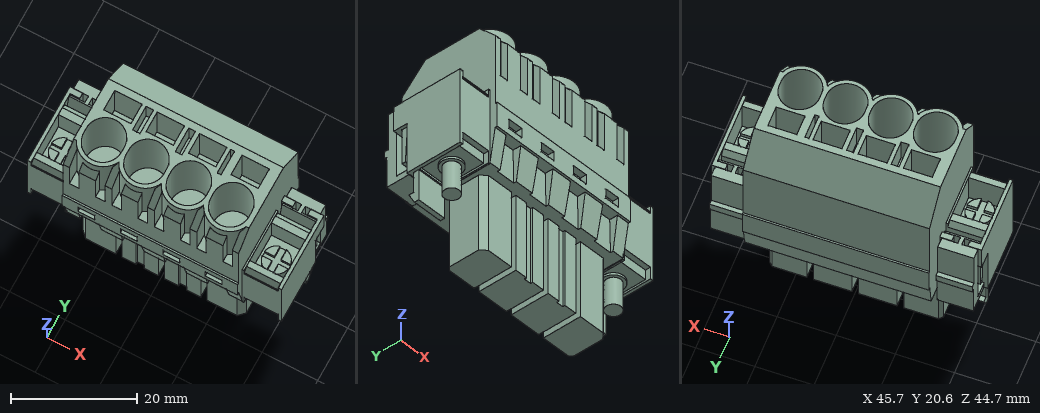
import cadquery as cq


LENGTH = 45.7
DEPTH = 20.6
HEIGHT = 44.7
POLE_COUNT = 4
POLE_PITCH = 7.65
POLE_X = [(i - (POLE_COUNT - 1) / 2) * POLE_PITCH for i in range(POLE_COUNT)]

HOUSING_LENGTH = 31.55
BAND_Y = DEPTH / 2
BAND_STEP = 0.3
WALL_Y = BAND_Y - BAND_STEP
BAND_TOP_Z = 27.25
BAND_BOTTOM_Z = 22.25
FRONT_BEVEL = 3.47
BACK_BEVEL = 5.0
SKIRT_TOP_Y = 9.88
SKIRT_FRONT_Y = 8.8
SKIRT_BACK_Y = 9.25
SKIRT_FRONT_Z = 15.55
SKIRT_BACK_Z = 17.5

BOSS_RADIUS = 4.25
BOSS_Y = -4.65
ENTRY_WIDTH = 6.8
ENTRY_LENGTH = 7.65
ENTRY_Y = -4.4
ENTRY_DEPTH = 13.7
RIB_WIDTH = 3.0
SLOT_WIDTH = 1.7
SLOT_FLOOR_Z = 33.65

RELEASE_WIDTH = 4.9
RELEASE_FRONT_Y = 0.05
RELEASE_BACK_Y = 3.75
RELEASE_DEPTH = 9.15
RELEASE_TAPER = 0.15
SLIT_SPANS = [(-8.28, -6.95), (-0.6, 0.6), (6.95, 7.65)]
SLIT_FRONT_Y = -0.75
SLIT_DEPTH = 4.55
WINDOW_HEIGHT = 1.9
WINDOW_BOTTOM_Z = 23.55
WINDOW_DEPTH = 1.25
SKIRT_RECESS_Y = -8.25
SKIRT_RECESS_TOP_WIDTH = 3.47
SKIRT_RECESS_BOTTOM_WIDTH = 3.85

PRONG_WIDTH = 6.55
PRONG_FRONT_Y = -6.5
PRONG_BACK_Y = 1.4
PRONG_FRONT_BEVEL = 1.1
PRONG_BACK_BEVEL = 0.65
PRONG_GROOVE_WIDTH = 1.4
PRONG_GROOVE_DEPTH = 0.45

FLANGE_TOP_Z = 30.6
INNER_STEP = 0.15
INNER_TOP_Z = FLANGE_TOP_Z - INNER_STEP
FLANGE_BOTTOM_Z = 15.35
FLANGE_OUT_X = LENGTH / 2
FLANGE_IN_X = HOUSING_LENGTH / 2
OUTER_PLATE = 0.65
INNER_PLATE = 0.3
WELL_OUT_X = FLANGE_OUT_X - OUTER_PLATE
WELL_IN_X = FLANGE_IN_X + INNER_PLATE
BOX_FRONT_Y = -8.8
BOX_BACK_Y = 2.55
BOX_BACK_BEVEL = 0.85
WELL_FRONT_Y = -6.8
WELL_BACK_Y = 0.35
WELL_FLOOR_Z = 24.65
LIP_BEVEL_Y = 0.85
LIP_BEVEL_Z = 1.1
LIP_STEP = 0.1
LIP_BOTTOM_Z = 29.0
UNDERSIDE_Z = 15.8
FOOT_RECESS_TOP_Z = 17.8
FOOT_RECESS_DEPTH = 1.05

RAIL_FRONT_Y = 4.3
RAIL_BACK_Y = 5.35
NECK_WIDTH = 0.7
NECK_GAP = 1.0
BACK_PLATE_Y = 7.15
BACK_PLATE_LOW_Y = 7.45
BACK_NUB_Y = 7.9
BACK_NUB_TOP_Z = 23.23
BACK_NUB_BOTTOM_Z = 21.75
BAR_TOP_Z = 16.7
BAR_BOTTOM_Z = 15.5
RAIL_BOTTOM_Z = 25.6
LEVER_BACK_Y = 4.15
LEVER_TOP_Y = 3.9
LEVER_NOSE_Y = 3.0
LEVER_NOSE_Z = 25.6
LEVER_BOTTOM_Y = 3.55
LEVER_BOTTOM_Z = 18.55
ARM_FRONT_Y = 0.6
ARM_BACK_Y = 1.7
ARM_BOTTOM_Z = 9.1
HOOK_TIP_Y = 2.7
HOOK_TIP_Z = 11.25
HOOK_ROOT_Y = 1.5

SCREW_X = (WELL_OUT_X + WELL_IN_X) / 2
SCREW_Y = -3.65
HEAD_RADIUS = 2.4
HEAD_TOP_Z = 26.9
COLLAR_RADIUS = 2.15
THREAD_RADIUS = 1.55
SCREW_TIP_Z = 9.8
CROSS_WIDTH_X = 1.15
CROSS_WIDTH_Y = 0.82
CROSS_DEPTH = 0.7


def block(x_span, y_span, z_span):
    """Box between the given (from, to) limits on each axis."""
    spans = (x_span, y_span, z_span)
    sizes = [abs(end - start) for start, end in spans]
    corner = [min(span) for span in spans]
    return cq.Workplane("XY").box(*sizes, centered=False).translate(tuple(corner))


def centred(middle, width):
    return (middle - width / 2, middle + width / 2)


def prism_along_x(points_yz, x_span):
    """Outline in Y and Z extruded between two X positions."""
    start, end = sorted(x_span)
    return cq.Workplane("YZ").workplane(offset=start).polyline(points_yz).close().extrude(end - start)


def cylinder(x, y, radius, z_span):
    bottom, top = z_span
    return cq.Workplane("XY", origin=(x, y, bottom)).circle(radius).extrude(top - bottom)


def housing_shell():
    profile = [
        (-WALL_Y + FRONT_BEVEL, HEIGHT),
        (WALL_Y - BACK_BEVEL, HEIGHT),
        (WALL_Y, HEIGHT - BACK_BEVEL),
        (WALL_Y, BAND_TOP_Z),
        (BAND_Y, BAND_TOP_Z),
        (BAND_Y, BAND_BOTTOM_Z),
        (SKIRT_TOP_Y, BAND_BOTTOM_Z),
        (SKIRT_BACK_Y, SKIRT_BACK_Z),
        (PRONG_BACK_Y, SKIRT_BACK_Z),
        (PRONG_BACK_Y, SKIRT_FRONT_Z),
        (-SKIRT_FRONT_Y, SKIRT_FRONT_Z),
        (-SKIRT_TOP_Y, BAND_BOTTOM_Z),
        (-BAND_Y, BAND_BOTTOM_Z),
        (-BAND_Y, BAND_TOP_Z),
        (-WALL_Y, BAND_TOP_Z),
        (-WALL_Y, HEIGHT - FRONT_BEVEL),
    ]
    return prism_along_x(profile, centred(0, HOUSING_LENGTH))


def entry_boss(x):
    return cylinder(x, BOSS_Y, BOSS_RADIUS, (SLOT_FLOOR_Z, HEIGHT))


def boss_slots(x):
    """Two slots in front of a boss, either side of the rib, reaching back to the boss axis."""
    z_span = (SLOT_FLOOR_Z, HEIGHT)
    across = block(centred(x, RIB_WIDTH + 2 * SLOT_WIDTH), (-BAND_Y, BOSS_Y), z_span)
    rib = block(centred(x, RIB_WIDTH), (-BAND_Y, BOSS_Y), z_span)
    return across.cut(rib)


def wire_entry(x):
    """Oval bore, longer in Y than in X."""
    plane = cq.Workplane("XY", origin=(x, ENTRY_Y, HEIGHT))
    return plane.slot2D(ENTRY_LENGTH, ENTRY_WIDTH, 90).extrude(-ENTRY_DEPTH)


def release_pocket(x):
    """Rectangular pocket whose back wall leans forward towards the floor."""
    floor_z = HEIGHT - RELEASE_DEPTH
    profile = [
        (RELEASE_FRONT_Y, HEIGHT),
        (RELEASE_BACK_Y, HEIGHT),
        (RELEASE_BACK_Y - RELEASE_TAPER, floor_z),
        (RELEASE_FRONT_Y, floor_z),
    ]
    return prism_along_x(profile, centred(x, RELEASE_WIDTH))


def band_window(x):
    z_span = (WINDOW_BOTTOM_Z, WINDOW_BOTTOM_Z + WINDOW_HEIGHT)
    return block(centred(x, RIB_WIDTH), (-BAND_Y, -BAND_Y + WINDOW_DEPTH), z_span)


def skirt_recess(x):
    """Upright recess in the sloping skirt, slightly wider at the bottom."""
    top = SKIRT_RECESS_TOP_WIDTH / 2
    bottom = SKIRT_RECESS_BOTTOM_WIDTH / 2
    outline = [
        (x - top, BAND_BOTTOM_Z),
        (x + top, BAND_BOTTOM_Z),
        (x + bottom, SKIRT_FRONT_Z),
        (x - bottom, SKIRT_FRONT_Z),
    ]
    depth = SKIRT_RECESS_Y + BAND_Y
    plane = cq.Workplane("XZ", origin=(0, SKIRT_RECESS_Y, 0))
    return plane.polyline(outline).close().extrude(depth)


def prong(x):
    return block(centred(x, PRONG_WIDTH), (PRONG_FRONT_Y, PRONG_BACK_Y), (0, SKIRT_FRONT_Z))


def end_prong(x):
    """Prong whose two upright edges facing away from the row are bevelled."""
    outer_side = "<X" if x < 0 else ">X"
    bevelled = prong(x).faces(outer_side).edges("|Z and <Y").chamfer(PRONG_FRONT_BEVEL)
    return bevelled.faces(outer_side).edges("|Z and >Y").chamfer(PRONG_BACK_BEVEL)


def middle_prong(x):
    groove_y = (PRONG_FRONT_Y, PRONG_FRONT_Y + PRONG_GROOVE_DEPTH)
    groove = block(centred(x, PRONG_GROOVE_WIDTH), groove_y, (0, SKIRT_FRONT_Z))
    return prong(x).cut(groove)


def make_housing():
    body = housing_shell()
    for x in POLE_X:
        body = body.cut(boss_slots(x))
    for x in POLE_X:
        body = body.union(entry_boss(x))
    for x in POLE_X:
        body = body.cut(wire_entry(x))
        body = body.cut(release_pocket(x))
        body = body.cut(band_window(x))
        body = body.cut(skirt_recess(x))
    for slit_x in SLIT_SPANS:
        body = body.cut(block(slit_x, (SLIT_FRONT_Y, RELEASE_BACK_Y), (HEIGHT - SLIT_DEPTH, HEIGHT)))
    for x in POLE_X:
        at_row_end = x in (POLE_X[0], POLE_X[-1])
        body = body.union(end_prong(x) if at_row_end else middle_prong(x))
    return body


FLANGE_X = (FLANGE_IN_X, FLANGE_OUT_X)
WELL_X = (WELL_IN_X, WELL_OUT_X)


def flange_box():
    """Box around the screw: open well above, bored floor, stepped and bevelled walls."""
    box = block(FLANGE_X, (BOX_FRONT_Y, BOX_BACK_Y), (FLANGE_BOTTOM_Z, FLANGE_TOP_Z))
    top_step = block(WELL_X, (BOX_FRONT_Y, BOX_BACK_Y), (INNER_TOP_Z, FLANGE_TOP_Z))
    well = block(WELL_X, (WELL_FRONT_Y, WELL_BACK_Y), (WELL_FLOOR_Z, FLANGE_TOP_Z))
    bore = cylinder(SCREW_X, SCREW_Y, COLLAR_RADIUS, (FLANGE_BOTTOM_Z, WELL_FLOOR_Z))
    underside = block(WELL_X, (BOX_FRONT_Y, WELL_BACK_Y), (FLANGE_BOTTOM_Z, UNDERSIDE_Z))
    foot_y = (BOX_FRONT_Y, BOX_FRONT_Y + FOOT_RECESS_DEPTH)
    foot_recess = block(WELL_X, foot_y, (UNDERSIDE_Z, FOOT_RECESS_TOP_Z))
    front_lip = prism_along_x(
        [
            (BOX_FRONT_Y, INNER_TOP_Z),
            (BOX_FRONT_Y + LIP_BEVEL_Y, INNER_TOP_Z),
            (BOX_FRONT_Y + LIP_STEP, INNER_TOP_Z - LIP_BEVEL_Z),
            (BOX_FRONT_Y + LIP_STEP, LIP_BOTTOM_Z),
            (BOX_FRONT_Y, LIP_BOTTOM_Z),
        ],
        WELL_X,
    )
    back_bevel = prism_along_x(
        [
            (BOX_BACK_Y - BOX_BACK_BEVEL, INNER_TOP_Z),
            (BOX_BACK_Y, INNER_TOP_Z),
            (BOX_BACK_Y, INNER_TOP_Z - BOX_BACK_BEVEL),
        ],
        WELL_X,
    )
    for opening in (top_step, well, bore, underside, foot_recess, front_lip, back_bevel):
        box = box.cut(opening)
    return box


def back_frame():
    """Upper side plate with two rails, and the back plate joined to the box by a bottom bar."""
    upper_z = (RAIL_BOTTOM_Z, FLANGE_TOP_Z)
    rail_y = (RAIL_FRONT_Y, RAIL_BACK_Y)
    rail_gap = NECK_WIDTH / 2 + NECK_GAP
    side_plate = block((WELL_OUT_X, FLANGE_OUT_X), (BOX_BACK_Y, RAIL_BACK_Y), upper_z)
    outer_rail = block((SCREW_X + rail_gap, FLANGE_OUT_X), rail_y, upper_z)
    inner_rail = block((FLANGE_IN_X, SCREW_X - rail_gap), rail_y, upper_z)
    bar = block(WELL_X, (BOX_BACK_Y, RAIL_BACK_Y), (BAR_BOTTOM_Z, BAR_TOP_Z))
    back_plate = prism_along_x(
        [
            (RAIL_BACK_Y, INNER_TOP_Z),
            (BACK_PLATE_Y, INNER_TOP_Z),
            (BACK_PLATE_Y, BACK_NUB_TOP_Z),
            (BACK_NUB_Y, BACK_NUB_TOP_Z),
            (BACK_NUB_Y, BACK_NUB_BOTTOM_Z),
            (BACK_PLATE_LOW_Y, BACK_NUB_BOTTOM_Z),
            (BACK_PLATE_LOW_Y, BAR_BOTTOM_Z),
            (RAIL_BACK_Y, BAR_BOTTOM_Z),
        ],
        WELL_X,
    )
    return back_plate.union(bar).union(side_plate).union(outer_rail).union(inner_rail)


def latch_lever():
    """Wedge-nosed lever hung from the back plate by a narrow neck that reaches down to the bar."""
    outline = [
        (LEVER_BACK_Y, INNER_TOP_Z),
        (LEVER_TOP_Y, INNER_TOP_Z),
        (LEVER_NOSE_Y, LEVER_NOSE_Z),
        (LEVER_BOTTOM_Y, BAR_TOP_Z),
        (LEVER_BACK_Y, BAR_TOP_Z),
    ]
    above_bar = block(WELL_X, (LEVER_NOSE_Y, LEVER_BACK_Y), (LEVER_BOTTOM_Z, INNER_TOP_Z))
    lever = prism_along_x(outline, WELL_X).intersect(above_bar)

    neck_x = centred(SCREW_X, NECK_WIDTH)
    neck = block(neck_x, (LEVER_BACK_Y, RAIL_BACK_Y), (BAR_TOP_Z, INNER_TOP_Z))
    return lever.union(prism_along_x(outline, neck_x)).union(neck)


def hook_arm():
    profile = [
        (ARM_FRONT_Y, FLANGE_BOTTOM_Z),
        (ARM_BACK_Y, FLANGE_BOTTOM_Z),
        (ARM_BACK_Y, HOOK_TIP_Z),
        (HOOK_TIP_Y, HOOK_TIP_Z),
        (HOOK_ROOT_Y, ARM_BOTTOM_Z),
        (ARM_FRONT_Y, ARM_BOTTOM_Z),
    ]
    return prism_along_x(profile, WELL_X)


def make_flange():
    return flange_box().union(back_frame()).union(latch_lever()).union(hook_arm())


def make_screw():
    head = cylinder(SCREW_X, SCREW_Y, HEAD_RADIUS, (WELL_FLOOR_Z, HEAD_TOP_Z))
    collar = cylinder(SCREW_X, SCREW_Y, COLLAR_RADIUS, (FLANGE_BOTTOM_Z, WELL_FLOOR_Z))
    thread = cylinder(SCREW_X, SCREW_Y, THREAD_RADIUS, (SCREW_TIP_Z, FLANGE_BOTTOM_Z))
    screw = head.union(collar).union(thread)

    cross_z = (HEAD_TOP_Z - CROSS_DEPTH, HEAD_TOP_Z)
    head_x = centred(SCREW_X, 2 * HEAD_RADIUS)
    head_y = centred(SCREW_Y, 2 * HEAD_RADIUS)
    screw = screw.cut(block(head_x, centred(SCREW_Y, CROSS_WIDTH_Y), cross_z))
    return screw.cut(block(centred(SCREW_X, CROSS_WIDTH_X), head_y, cross_z))


def both_ends(part):
    """The part at the +X end and its mirror image at the -X end."""
    return [part.val(), part.mirror("YZ").val()]


housing = make_housing()
flanges = both_ends(make_flange())
screws = both_ends(make_screw())

result = cq.Compound.makeCompound([housing.val(), *flanges, *screws])